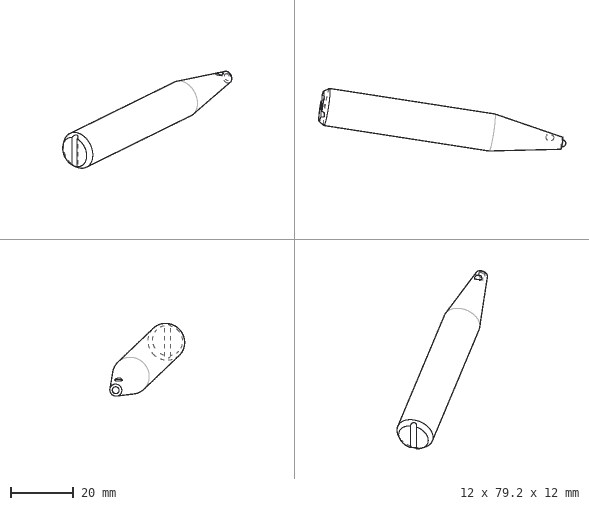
import cadquery as cq
import math

length = 79.2
body_radius = 6.0
end_face_radius = 4.9
end_bevel_length = 1.75
taper_length = 22.65
nose_radius = 2.0
tip_radius = 1.1
tip_length = 1.3
slot_radius = 1.0
spot_radius = 1.3
spot_from_tip = 5.15
spot_floor_height = 2.4

end_y = -length / 2
tip_y = length / 2
nose_y = tip_y - tip_length
taper_y = nose_y - taper_length
dome_y = tip_y - tip_radius
spot_y = tip_y - spot_from_tip


def turned_body():
    """Bevelled cylinder, taper and domed tip revolved about Y."""
    dome_mid = tip_radius * math.sqrt(0.5)
    return (
        cq.Workplane("XY")
        .moveTo(0, end_y)
        .lineTo(end_face_radius, end_y)
        .lineTo(body_radius, end_y + end_bevel_length)
        .lineTo(body_radius, taper_y)
        .lineTo(nose_radius, nose_y)
        .lineTo(tip_radius, nose_y)
        .lineTo(tip_radius, dome_y)
        .threePointArc((dome_mid, dome_y + dome_mid), (0, tip_y))
        .close()
        .revolve(360, (0, 0, 0), (0, 1, 0))
    )


def end_slot():
    """Half-round groove across the flat end, running along Z."""
    return (
        cq.Workplane("XY")
        .center(0, end_y)
        .moveTo(-slot_radius, 0)
        .lineTo(-slot_radius, -slot_radius)
        .lineTo(slot_radius, -slot_radius)
        .lineTo(slot_radius, 0)
        .threePointArc((0, slot_radius), (-slot_radius, 0))
        .close()
        .extrude(body_radius, both=True)
    )


def taper_spot():
    """Shallow flat-bottomed round recess in the top of the taper."""
    return (
        cq.Workplane("XY", origin=(0, spot_y, spot_floor_height))
        .circle(spot_radius)
        .extrude(body_radius - spot_floor_height)
    )


result = turned_body().cut(end_slot()).cut(taper_spot())